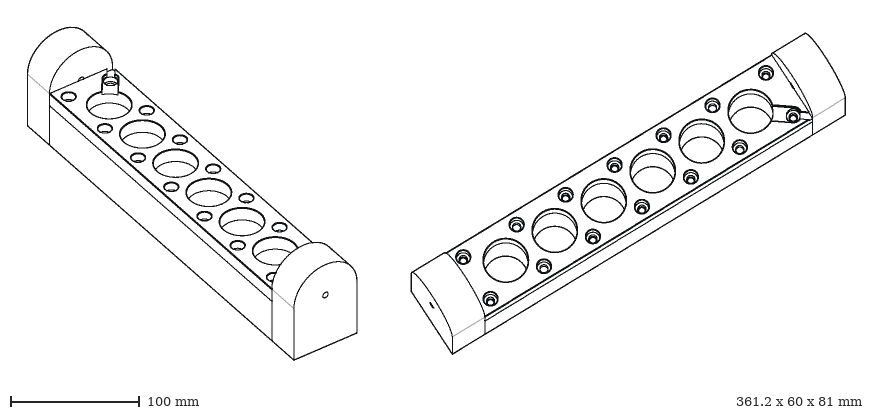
import cadquery as cq
import math

total_length = 361.2
width = 60.0
cap_length = 30.0
deck_height = 51.0
plate_thickness = 12.0

arch_radius = width / 2
base_height = deck_height - plate_thickness
deck_length = total_length - 2 * cap_length

bore_count = 6
bore_row_span = 225.0
bore_pitch = bore_row_span / (bore_count - 1)
bore_diameter = 34.5

screw_end_x = 139.0
screw_y = 20.0
counterbore_diameter = 11.0
counterbore_depth = 7.2
clearance_diameter = 6.5
tapped_diameter = 5.0
tapped_depth = 20.0

cap_hole_diameter = 5.0

edge_chamfer = 0.5

channel_width = 12.3
outlet_width = 6.0
channel_depth = 3.0

bore_points = [((i - (bore_count - 1) / 2) * bore_pitch, 0) for i in range(bore_count)]
inner_screw_xs = [(i - (bore_count - 2) / 2) * bore_pitch for i in range(bore_count - 1)]


def screw_pairs(xs):
    """Points in the front and back screw rows at the given X places."""
    return [(x, y) for x in xs for y in (-screw_y, screw_y)]


through_xs = [inner_screw_xs[0], inner_screw_xs[-1]]
tapped_xs = [-screw_end_x, *inner_screw_xs[1:-1], screw_end_x]
through_points = screw_pairs(through_xs)
tapped_points = screw_pairs(tapped_xs)

corner_screw = (-screw_end_x, screw_y)
channel_slope = (corner_screw[1] - bore_points[0][1]) / (corner_screw[0] - bore_points[0][0])
outlet_end = (-deck_length / 2, screw_y + channel_slope * (screw_end_x - deck_length / 2))


def deck_block(bottom, height):
    """Rectangular block between the end caps."""
    return cq.Workplane("XY").workplane(offset=bottom).box(
        deck_length, width, height, centered=(True, True, False)
    )


def cylinders(points, diameter, top, depth):
    """Vertical cutting cylinders that reach down from the given height."""
    return cq.Workplane("XY").workplane(offset=top - depth).pushPoints(points).circle(diameter / 2).extrude(depth)


def groove(start, end, groove_width):
    """Round-ended cutter for a straight groove in the plate top between two points."""
    run_x = end[0] - start[0]
    run_y = end[1] - start[1]
    middle = ((start[0] + end[0]) / 2, (start[1] + end[1]) / 2)
    return (
        cq.Workplane("XY")
        .workplane(offset=deck_height - channel_depth)
        .center(*middle)
        .slot2D(math.hypot(run_x, run_y) + groove_width, groove_width, math.degrees(math.atan2(run_y, run_x)))
        .extrude(channel_depth)
    )


def make_base():
    """Lower block with through bores, four through screw holes and blind tapped holes."""
    base = deck_block(0, base_height)
    base = base.cut(cylinders(bore_points, bore_diameter, base_height, base_height))
    base = base.cut(cylinders(through_points, clearance_diameter, base_height, base_height))
    return base.cut(cylinders(tapped_points, tapped_diameter, base_height, tapped_depth))


def make_plate():
    """Cover plate with bores, counterbored screw holes, chamfered rims and the corner channel."""
    screw_points = through_points + tapped_points
    plate = deck_block(base_height, plate_thickness)
    plate = plate.cut(cylinders(bore_points, bore_diameter, deck_height, plate_thickness))
    plate = plate.cut(cylinders(screw_points, clearance_diameter, deck_height, plate_thickness))
    plate = plate.cut(cylinders(screw_points, counterbore_diameter, deck_height, counterbore_depth))
    plate = plate.cut(groove(bore_points[0], corner_screw, channel_width))
    plate = plate.faces(">Z").edges("not |Y").chamfer(edge_chamfer)
    return plate.cut(groove(corner_screw, outlet_end, outlet_width))


def make_end_cap(start_x):
    """Arched end cap whose low-X face lies at start_x."""
    return (
        cq.Workplane("YZ")
        .workplane(offset=start_x)
        .moveTo(-width / 2, 0)
        .lineTo(width / 2, 0)
        .lineTo(width / 2, deck_height)
        .threePointArc((0, deck_height + arch_radius), (-width / 2, deck_height))
        .close()
        .moveTo(0, deck_height)
        .circle(cap_hole_diameter / 2)
        .extrude(cap_length)
    )


base = make_base()
plate = make_plate()
end_caps = [make_end_cap(x) for x in (-total_length / 2, deck_length / 2)]

result = cq.Compound.makeCompound([base.val(), plate.val(), *[cap.val() for cap in end_caps]])